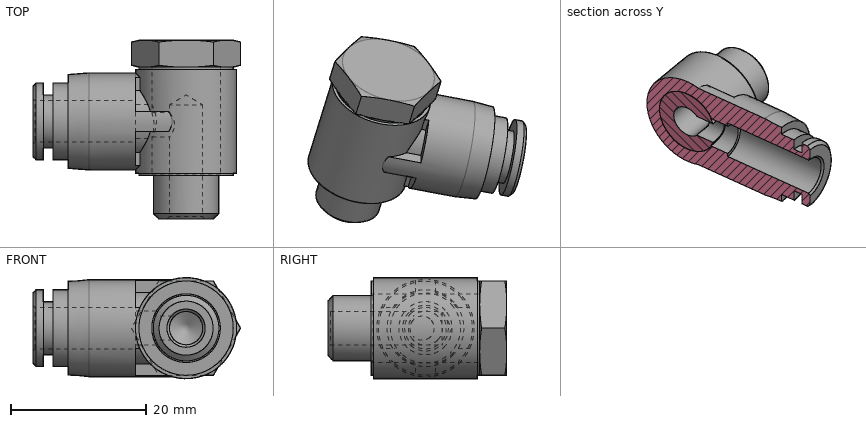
import cadquery as cq
import math


overall_length = 30.78

ring_diameter = 15.0
ring_radius = ring_diameter / 2
ring_half_length = 7.7
lip_radius = 7.0
lip_height = 0.35
seat_y = ring_half_length + lip_height

hex_across_flats = 14.0
hex_corner_radius = hex_across_flats / 2 / math.cos(math.pi / 6)
hex_end_y = 12.05
hex_chamfer_drop = 0.28

socket_end_x = hex_corner_radius - overall_length
rim_end_x = -21.1
groove_end_x = -19.73
collar_end_x = -17.45
taper_end_x = -14.37
socket_root_x = -ring_radius
rim_radius = 5.7
rim_chamfer = 0.5
groove_radius = 3.95
taper_start_radius = 6.95
socket_radius = 7.2
core_radius = 5.5
wide_rib_half_width = 3.05
narrow_rib_half_width = 1.5

tube_radius = 3.08
tube_mouth_chamfer = 0.3
tube_stop_x = socket_root_x
passage_radius = 2.52

shank_radius = 5.08
shank_end_y = -7.75
thread_radius = 4.85
bolt_tip_y = -14.47
tip_radius = 4.0
tip_chamfer_length = 0.8
bore_radius = 2.45
bore_mouth_radius = 2.83
bore_mouth_depth = 0.37
bore_bottom_y = 2.45
drill_point_angle = 118.0
drill_point_height = bore_radius / math.tan(math.radians(drill_point_angle / 2))
cross_hole_radius = 1.8
cross_hole_y = -0.5


def turned_about_x(points):
    """Solid of revolution about X from (x, radius) points."""
    return cq.Workplane("XY").polyline(points).close().revolve(360, (0, 0), (1, 0))


def turned_about_y(points):
    """Solid of revolution about Y from (radius, y) points."""
    return cq.Workplane("XY").polyline(points).close().revolve(360, (0, 0), (0, 1))


def cylinder_y(radius, y_start, y_end):
    return turned_about_y([(0, y_start), (radius, y_start), (radius, y_end), (0, y_end)])


def cylinder_x(radius, x_start, x_end):
    return turned_about_x([(x_start, 0), (x_start, radius), (x_end, radius), (x_end, 0)])


def make_socket():
    """Stepped outside of the tube socket, up to the edge of the ring."""
    return turned_about_x([
        (socket_end_x, 0),
        (socket_end_x, rim_radius - rim_chamfer),
        (socket_end_x + rim_chamfer, rim_radius),
        (rim_end_x, rim_radius),
        (rim_end_x, groove_radius),
        (groove_end_x, groove_radius),
        (groove_end_x, rim_radius),
        (collar_end_x, rim_radius),
        (collar_end_x, taper_start_radius),
        (taper_end_x, socket_radius),
        (socket_root_x, socket_radius),
        (socket_root_x, 0),
    ])


def make_ribbed_neck():
    """Round core with four ribs that run from the socket into the ring."""
    length = -socket_root_x
    wide_ribs = cq.Workplane("XY").box(length, 2 * socket_radius, 2 * wide_rib_half_width)
    narrow_ribs = cq.Workplane("XY").box(length, 2 * narrow_rib_half_width, 2 * socket_radius)
    ribs = wide_ribs.union(narrow_ribs).translate((socket_root_x / 2, 0, 0))
    ribs = ribs.intersect(cylinder_x(socket_radius, socket_root_x, 0))
    return ribs.union(cylinder_x(core_radius, socket_root_x, 0))


def make_tube_passage():
    """Chamfered tube seat and the narrower passage to the bolt."""
    return turned_about_x([
        (socket_end_x, 0),
        (socket_end_x, tube_radius + tube_mouth_chamfer),
        (socket_end_x + tube_mouth_chamfer, tube_radius),
        (tube_stop_x, tube_radius),
        (tube_stop_x, passage_radius),
        (0, passage_radius),
        (0, 0),
    ])


def make_housing():
    ring = cylinder_y(ring_radius, -ring_half_length, ring_half_length)
    lips = cylinder_y(lip_radius, -seat_y, seat_y)
    body = ring.union(lips).union(make_ribbed_neck()).union(make_socket())
    return body.cut(make_tube_passage()).cut(cylinder_y(shank_radius, -seat_y, seat_y))


def make_hex_head():
    """Hexagon with corners on X, its corners bevelled at both ends."""
    head = (
        cq.Workplane("XZ", origin=(0, hex_end_y, 0))
        .polygon(6, 2 * hex_corner_radius)
        .extrude(hex_end_y - seat_y)
    )
    bevel = turned_about_y([
        (0, seat_y),
        (hex_across_flats / 2, seat_y),
        (hex_corner_radius, seat_y + hex_chamfer_drop),
        (hex_corner_radius, hex_end_y - hex_chamfer_drop),
        (hex_across_flats / 2, hex_end_y),
        (0, hex_end_y),
    ])
    return head.intersect(bevel)


def make_bolt_bore():
    """Blind drilled hole with a chamfered mouth and a conical bottom."""
    return turned_about_y([
        (0, bolt_tip_y),
        (bore_mouth_radius, bolt_tip_y),
        (bore_radius, bolt_tip_y + bore_mouth_depth),
        (bore_radius, bore_bottom_y),
        (0, bore_bottom_y + drill_point_height),
    ])


def make_bolt():
    stem = turned_about_y([
        (0, seat_y),
        (shank_radius, seat_y),
        (shank_radius, shank_end_y),
        (thread_radius, shank_end_y),
        (thread_radius, bolt_tip_y + tip_chamfer_length),
        (tip_radius, bolt_tip_y),
        (0, bolt_tip_y),
    ])
    cross_hole = cylinder_x(cross_hole_radius, -ring_radius, 0).translate((0, cross_hole_y, 0))
    return make_hex_head().union(stem).cut(make_bolt_bore()).cut(cross_hole)


housing = make_housing()
bolt = make_bolt()
result = cq.Compound.makeCompound([housing.val(), bolt.val()])